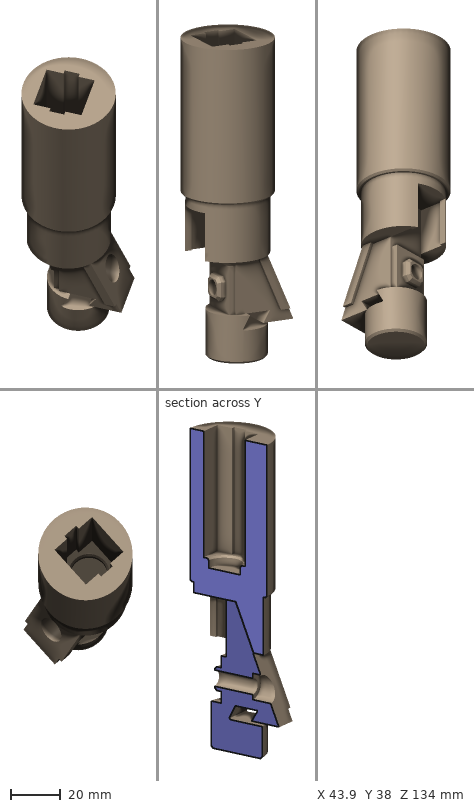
import cadquery as cq

TOP_Z = 134.0
SHOULDER_Z = 68.9
SLOT_TOP_Z = 64.3
NECK_BOTTOM_Z = 44.2
FOOT_TOP_Z = 20.1

BARREL_RADIUS = 19.0
NECK_RADIUS = 17.2
BARREL_CHAMFER = 0.8
SLOT_HALF_WIDTH = 8.5
POCKET_LEFT_X = -12.0
POCKET_RIGHT_X = 8.2
POCKET_FLOOR_Z = 80.4
KEYWAY_WIDTH = 6.3
KEYWAY_CENTER_X = -1.7
BORE_RADIUS = 7.6
BORE_DEPTH = 4.0
BORE_CHAMFER = 0.8

GUIDE_HALF_WIDTH = 9.5
RAIL_HALF_WIDTH = 11.1
RAIL_WIDTH_X = 4.3
WEDGE_FRONT_X = -1.2
WEDGE_BOTTOM_Z = 15.1
WEDGE_TIP_X = 24.9
SLOPE_X_AT_NECK = 12.2
SLOPE = (WEDGE_TIP_X - SLOPE_X_AT_NECK) / (NECK_BOTTOM_Z - WEDGE_BOTTOM_Z)
PAD_FRONT_X = -3.8
PAD_TOP_Z = 40.2

FOOT_CENTER_X = 4.0
FOOT_RADIUS = 12.6
FOOT_CHAMFER = 1.0
FOOT_STEP_Z = 14.0
FOOT_JAW_TOP_X = 3.5
FOOT_JAW_TIP_X = 0.5
FOOT_JAW_RELIEF = 0.5
WEDGE_JAW_TOP_X = 14.2
WEDGE_JAW_TIP_X = 11.3

NUT_Z = 30.0
NUT_SIZE = 10.3
NUT_FRONT_X = -7.0
NUT_CORNER = 2.0
NUT_BEVEL = 1.2
HOLE_RADIUS = 3.4
COUNTERBORE_RADIUS = 5.5
COUNTERBORE_FLOOR_X = 12.0


def slope_x(z):
    """X of the inclined wedge face at height z."""
    return WEDGE_TIP_X - SLOPE * (z - WEDGE_BOTTOM_Z)


def box(x_min, x_max, half_width, z_min, z_max):
    """Box centred on the XZ plane."""
    return (
        cq.Workplane("XY", origin=((x_min + x_max) / 2, 0, z_min))
        .rect(x_max - x_min, 2 * half_width)
        .extrude(z_max - z_min)
    )


def prism(points, half_width):
    """XZ outline extruded equally to both sides in Y."""
    return cq.Workplane("XZ").polyline(points).close().extrude(half_width, both=True)


def rail():
    """Inclined guide rail, used for the slider and its groove."""
    bottom_x = slope_x(FOOT_TOP_Z)
    top_x = slope_x(SLOT_TOP_Z)
    outline = [
        (bottom_x - RAIL_WIDTH_X, FOOT_TOP_Z),
        (bottom_x, FOOT_TOP_Z),
        (top_x, SLOT_TOP_Z),
        (top_x - RAIL_WIDTH_X, SLOT_TOP_Z),
    ]
    front_limit = box(WEDGE_FRONT_X, WEDGE_TIP_X, RAIL_HALF_WIDTH, FOOT_TOP_Z, SLOT_TOP_Z)
    return prism(outline, RAIL_HALF_WIDTH).intersect(front_limit)


def top_pocket():
    """Square pocket with two side keyways and a countersunk bore in its floor."""
    keyway_left_x = KEYWAY_CENTER_X - KEYWAY_WIDTH / 2
    pocket = box(POCKET_LEFT_X, POCKET_RIGHT_X, GUIDE_HALF_WIDTH, POCKET_FLOOR_Z, TOP_Z)
    keyways = box(keyway_left_x, keyway_left_x + KEYWAY_WIDTH, RAIL_HALF_WIDTH, POCKET_FLOOR_Z, TOP_Z)
    bore_center_x = (POCKET_LEFT_X + POCKET_RIGHT_X) / 2
    bore = (
        cq.Workplane("XY", origin=(bore_center_x, 0, POCKET_FLOOR_Z - BORE_DEPTH))
        .circle(BORE_RADIUS)
        .extrude(BORE_DEPTH)
    )
    countersink = (
        cq.Workplane("XY", origin=(bore_center_x, 0, POCKET_FLOOR_Z))
        .circle(BORE_RADIUS + BORE_CHAMFER)
        .extrude(-BORE_CHAMFER, taper=45)
    )
    return pocket.union(keyways).union(bore).union(countersink)


def slider_cavity():
    """Cavity in the neck, with an inclined rear wall, rail groove and front window."""
    outline = [
        (POCKET_LEFT_X, NECK_BOTTOM_Z),
        (SLOPE_X_AT_NECK, NECK_BOTTOM_Z),
        (slope_x(SLOT_TOP_Z), SLOT_TOP_Z),
        (POCKET_LEFT_X, SLOT_TOP_Z),
    ]
    window = box(-BARREL_RADIUS, POCKET_LEFT_X, SLOT_HALF_WIDTH, NECK_BOTTOM_Z, SLOT_TOP_Z)
    return prism(outline, GUIDE_HALF_WIDTH).union(window).union(rail())


def make_housing():
    barrel = (
        cq.Workplane("XY", origin=(0, 0, SHOULDER_Z))
        .circle(BARREL_RADIUS)
        .extrude(TOP_Z - SHOULDER_Z)
        .faces("<Z")
        .chamfer(BARREL_CHAMFER)
    )
    neck = (
        cq.Workplane("XY", origin=(0, 0, NECK_BOTTOM_Z))
        .circle(NECK_RADIUS)
        .extrude(SHOULDER_Z - NECK_BOTTOM_Z)
    )
    return barrel.union(neck).cut(top_pocket()).cut(slider_cavity())


def make_wedge():
    """Wedge with its jaw, guide rail and front pad."""
    outline = [
        (WEDGE_FRONT_X, FOOT_TOP_Z),
        (WEDGE_JAW_TOP_X, FOOT_TOP_Z),
        (WEDGE_JAW_TIP_X, WEDGE_BOTTOM_Z),
        (WEDGE_TIP_X, WEDGE_BOTTOM_Z),
        (slope_x(SLOT_TOP_Z), SLOT_TOP_Z),
        (WEDGE_FRONT_X, SLOT_TOP_Z),
    ]
    pad = box(PAD_FRONT_X, WEDGE_FRONT_X, SLOT_HALF_WIDTH, FOOT_TOP_Z, PAD_TOP_Z)
    return prism(outline, GUIDE_HALF_WIDTH).union(rail()).union(pad)


def make_foot():
    """Round foot with its undercut jaw."""
    foot = (
        cq.Workplane("XY", origin=(FOOT_CENTER_X, 0, 0))
        .circle(FOOT_RADIUS)
        .extrude(FOOT_TOP_Z)
        .faces("<Z")
        .chamfer(FOOT_CHAMFER)
    )
    foot_right_x = FOOT_CENTER_X + FOOT_RADIUS
    opening = [
        (FOOT_JAW_TOP_X, FOOT_TOP_Z),
        (FOOT_JAW_TIP_X, FOOT_STEP_Z + FOOT_JAW_RELIEF),
        (FOOT_JAW_TIP_X + FOOT_JAW_RELIEF, FOOT_STEP_Z),
        (foot_right_x, FOOT_STEP_Z),
        (foot_right_x, FOOT_TOP_Z),
    ]
    return foot.cut(prism(opening, FOOT_RADIUS))


def make_nut():
    """Square nut with cut corners and a bevelled front."""
    return (
        cq.Workplane("YZ", origin=(NUT_FRONT_X, 0, NUT_Z))
        .rect(NUT_SIZE, NUT_SIZE)
        .extrude(PAD_FRONT_X - NUT_FRONT_X)
        .edges("|X")
        .chamfer(NUT_CORNER)
        .faces("<X")
        .chamfer(NUT_BEVEL)
    )


def cross_cylinder(start_x, radius):
    """Cylinder along X from start_x to the wedge tip."""
    return (
        cq.Workplane("YZ", origin=(start_x, 0, NUT_Z))
        .circle(radius)
        .extrude(WEDGE_TIP_X - start_x)
    )


def make_slider():
    solid = make_wedge().union(make_foot()).union(make_nut())
    through_hole = cross_cylinder(NUT_FRONT_X, HOLE_RADIUS)
    counterbore = cross_cylinder(COUNTERBORE_FLOOR_X, COUNTERBORE_RADIUS)
    return solid.cut(through_hole).cut(counterbore)


housing = make_housing()
slider = make_slider()

result = cq.Compound.makeCompound([housing.val(), slider.val()])